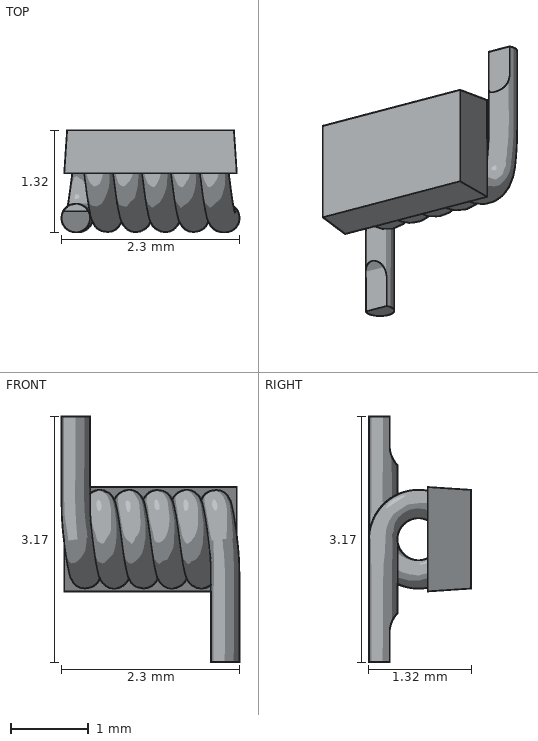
import cadquery as cq
import math

wire_diameter = 0.37
coil_outer_diameter = 1.28
turns = 5
pitch = 0.3735

wire_radius = wire_diameter / 2
coil_radius = coil_outer_diameter / 2 - wire_radius

lean_angle = math.atan(pitch / (2 * math.pi * coil_radius))
coil_half_length = turns * pitch / 2

lead_end_z = 3.17 / 2
bend_height = 0.48
bend_radius = bend_height / math.sin(lean_angle)
bend_shift = bend_radius * (1 - math.cos(lean_angle))
lead_x = coil_half_length + bend_shift

flat_depth = 0.1
flat_length = 0.38
run_out_length = 0.25
run_out_radius = (run_out_length ** 2 + flat_depth ** 2) / (2 * flat_depth)

cap_length = 2.23
cap_height = 1.35
cap_front_y = 0.12
cap_depth = 0.56
cap_taper_angle = 3.8


def make_coil():
    """Helical wire that starts and ends at the front of the coil, at Z = 0."""
    helix = cq.Wire.makeHelix(pitch, turns * pitch, coil_radius)
    helix = helix.rotate(cq.Vector(0, 0, 0), cq.Vector(0, 0, 1), -90)
    helix = helix.rotate(cq.Vector(0, 0, 0), cq.Vector(0, 1, 0), 90)
    helix = helix.translate(cq.Vector(-coil_half_length, 0, 0))
    start_plane = cq.Plane(
        origin=helix.startPoint(),
        xDir=(0, 1, 0),
        normal=(math.sin(lean_angle), 0, -math.cos(lean_angle)),
    )
    return cq.Workplane(start_plane).circle(wire_radius).sweep(cq.Workplane(helix), isFrenet=True)


def make_flat_cutter():
    """Bar that removes the back of the lead near its end."""
    back_y = -coil_radius + wire_radius
    flat_y = back_y - flat_depth
    flat_end_z = lead_end_z - flat_length
    run_out_angle = math.asin(run_out_length / run_out_radius) / 2
    run_out_middle = (
        flat_y + run_out_radius * (1 - math.cos(run_out_angle)),
        flat_end_z - run_out_radius * math.sin(run_out_angle),
    )
    return (
        cq.Workplane("YZ", origin=(-lead_x, 0, 0))
        .moveTo(back_y, lead_end_z)
        .lineTo(flat_y, lead_end_z)
        .lineTo(flat_y, flat_end_z)
        .threePointArc(run_out_middle, (back_y, flat_end_z - run_out_length))
        .close()
        .extrude(wire_radius, both=True)
    )


def make_lead():
    """Upward lead at the -X end of the coil: bend, straight part and solder flat."""
    bend = (
        cq.Workplane("XY", origin=(-lead_x, -coil_radius, bend_height))
        .circle(wire_radius)
        .revolve(math.degrees(lean_angle), (bend_radius, 0, 0), (bend_radius, -1, 0))
    )
    straight = (
        cq.Workplane("XY", origin=(-lead_x, -coil_radius, bend_height))
        .circle(wire_radius)
        .extrude(lead_end_z - bend_height)
        .cut(make_flat_cutter())
    )
    return bend.union(straight)


def make_wire():
    """Coil with its two leads; the second lead is the first turned half round about Y."""
    wire = make_coil()
    for half_turn in (0, 180):
        wire = wire.union(make_lead().rotate((0, 0, 0), (0, 1, 0), half_turn))
    return wire


def make_cap(wire):
    """Tapered block with channels where the back of the coil is embedded."""
    block = (
        cq.Workplane("XZ", origin=(0, cap_front_y, 0))
        .rect(cap_length, cap_height)
        .extrude(-cap_depth, taper=cap_taper_angle)
    )
    return block.cut(wire)


coil_wire = make_wire()
cap = make_cap(coil_wire)

result = cq.Compound.makeCompound([coil_wire.solids().val(), cap.solids().val()])